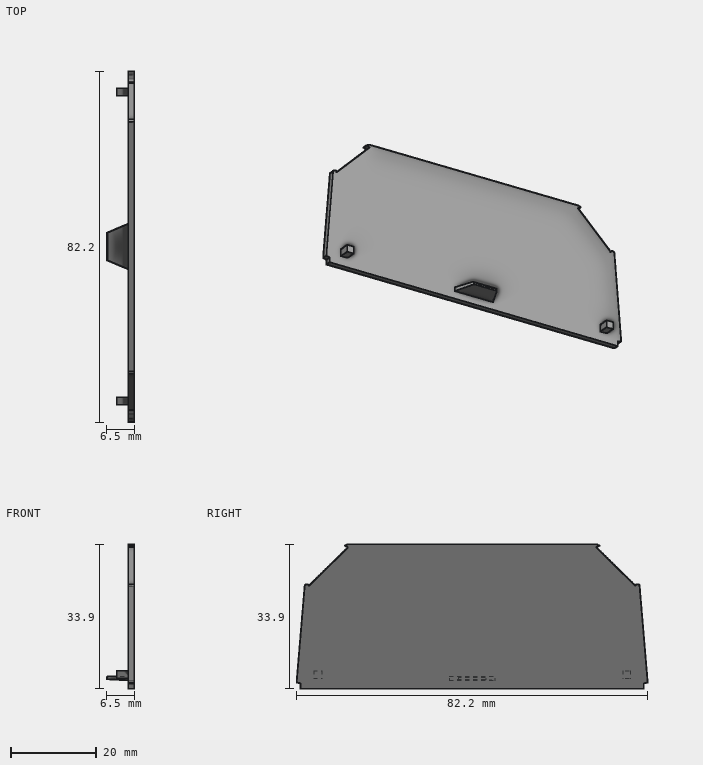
import cadquery as cq

thickness = 1.5
length = 82.2
height = 33.9
bottom_half_width = 40.2
step_inner_z = 1.2
step_outer_z = 1.5
lean_start_z = 2.0

shoulder_half_width = 39.2
shoulder_z = 24.5
shoulder_flat = 0.7
shoulder_radius = 0.5
notch_width = 0.25
notch_depth = 0.3

top_half_width = 29.2
lip_root_half_width = 29.1
lip_overhang = 0.65
lip_tip_drop = 0.3
lip_root_drop = 0.7

peg_size = 1.8
peg_length = 2.7
peg_offset = 36.2
peg_z = 3.4

tab_length = 5.0
tab_root_half_width = 5.35
tab_tip_half_width = 3.2
tab_top_z = 3.0
tab_root_bottom_z = 2.0
tab_tip_bottom_z = 2.2
tab_tip_chamfer = 0.25

front_x = -thickness


def make_plate():
    notch_y = shoulder_half_width - shoulder_flat
    half_outline = [
        (bottom_half_width, 0),
        (bottom_half_width, step_inner_z),
        (length / 2, step_outer_z),
        (length / 2, lean_start_z),
        (shoulder_half_width, shoulder_z),
        (notch_y, shoulder_z),
        (notch_y - notch_width, shoulder_z - notch_depth),
        (lip_root_half_width, height - lip_root_drop),
        (top_half_width + lip_overhang, height - lip_tip_drop),
        (top_half_width, height),
    ]
    mirrored = [(-y, z) for y, z in reversed(half_outline)]
    plate = cq.Workplane("YZ").polyline(half_outline + mirrored).close().extrude(-thickness)
    for side in (-1, 1):
        corner = (-thickness / 2, side * shoulder_half_width, shoulder_z)
        plate = plate.edges(cq.NearestToPointSelector(corner)).fillet(shoulder_radius)
    return plate


def make_pegs():
    return (
        cq.Workplane("YZ", origin=(front_x, 0, peg_z))
        .pushPoints([(-peg_offset, 0), (peg_offset, 0)])
        .rect(peg_size, peg_size)
        .extrude(-peg_length)
    )


def make_tab():
    tip_x = front_x - tab_length
    profile = (
        cq.Workplane("XZ")
        .polyline([
            (front_x, tab_root_bottom_z),
            (tip_x, tab_tip_bottom_z),
            (tip_x, tab_top_z - tab_tip_chamfer),
            (tip_x + tab_tip_chamfer, tab_top_z),
            (front_x, tab_top_z),
        ])
        .close()
        .extrude(tab_root_half_width, both=True)
    )
    plan = (
        cq.Workplane("XY")
        .polyline([
            (front_x, -tab_root_half_width),
            (tip_x, -tab_tip_half_width),
            (tip_x, tab_tip_half_width),
            (front_x, tab_root_half_width),
        ])
        .close()
        .extrude(height)
    )
    return profile.intersect(plan)


result = make_plate().union(make_pegs()).union(make_tab())